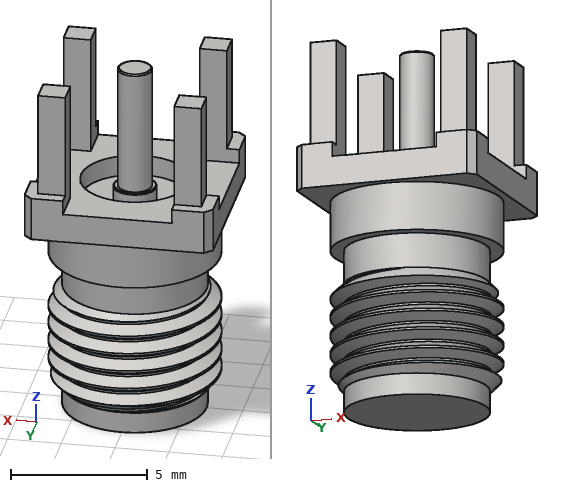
import cadquery as cq
import math


thread_bottom = 0.8
thread_top = 4.79
flange_bottom = 6.09
plate_bottom = 7.9
plate_top = 9.0
pad_top = 9.55
pin_top = 13.5

plate_side = 7.0
corner_chamfer = 0.3
leg_inner = 2.02
leg_outer = 3.04

barrel_radius = 2.67
flange_radius = 3.17

thread_radius = flange_radius
thread_pitch = 0.7
thread_flat = thread_pitch / 8
flank_slope = math.tan(math.radians(30))
thread_depth = (thread_pitch / 2 - thread_flat) / flank_slope
root_radius = thread_radius - thread_depth
thread_start = 0.39
thread_turns = 7
ridge_overlap = 0.04
envelope_margin = 0.14

recess_radius = 2.01
recess_depth = 0.78
recess_floor = plate_top - recess_depth
collar_radius = 0.8
collar_height = 0.54
collar_chamfer = 0.04
pin_radius = 0.63
pin_chamfer = 0.05


def cylinder(radius, bottom, top):
    return cq.Workplane("XY").workplane(offset=bottom).circle(radius).extrude(top - bottom)


def square_prism(side, bottom, top):
    return cq.Workplane("XY").workplane(offset=bottom).rect(side, side).extrude(top - bottom)


def make_thread():
    """Helical ridge on a core, trimmed to an envelope with 45 degree ends."""
    base_radius = root_radius - ridge_overlap
    half_crest = thread_flat / 2
    half_base = half_crest + (thread_radius - base_radius) * flank_slope
    profile = [
        (base_radius, thread_start - half_base),
        (thread_radius, thread_start - half_crest),
        (thread_radius, thread_start + half_crest),
        (base_radius, thread_start + half_base),
    ]
    helix = cq.Wire.makeHelix(
        thread_pitch, thread_pitch * thread_turns, root_radius, center=cq.Vector(0, 0, thread_start)
    )
    ridge = cq.Workplane("XZ").polyline(profile).close().sweep(cq.Workplane(helix), isFrenet=True)

    bevel = thread_radius + envelope_margin - barrel_radius
    envelope = (
        cq.Workplane("XZ")
        .moveTo(0, thread_bottom)
        .lineTo(barrel_radius, thread_bottom)
        .line(bevel, bevel)
        .lineTo(thread_radius + envelope_margin, thread_top - bevel)
        .line(-bevel, bevel)
        .lineTo(0, thread_top)
        .close()
        .revolve(360, (0, 0), (0, 1))
    )
    core = cylinder(root_radius, thread_bottom, thread_top).intersect(envelope)
    return core.union(ridge.intersect(envelope))


def make_barrel():
    barrel = cylinder(barrel_radius, 0, plate_bottom)
    flange = cylinder(flange_radius, flange_bottom, plate_bottom)
    return barrel.union(make_thread()).union(flange)


def make_plate():
    """Square plate with raised corner pads left by a cross-shaped step."""
    plate = square_prism(plate_side, plate_bottom, pad_top).edges("|Z").chamfer(corner_chamfer)
    gap = 2 * leg_inner
    step = cq.Workplane("XY").workplane(offset=plate_top)
    plate = plate.cut(step.rect(gap, plate_side).extrude(pad_top - plate_top))
    return plate.cut(step.rect(plate_side, gap).extrude(pad_top - plate_top))


def make_legs():
    leg_side = leg_outer - leg_inner
    spacing = leg_inner + leg_outer
    return (
        cq.Workplane("XY")
        .workplane(offset=plate_bottom)
        .rect(spacing, spacing, forConstruction=True)
        .vertices()
        .rect(leg_side, leg_side)
        .extrude(pin_top - plate_bottom)
    )


def make_contact():
    """Centre pin rising from a low collar on the recess floor."""
    collar_top = recess_floor + collar_height
    collar = cylinder(collar_radius, plate_bottom, collar_top).faces(">Z").chamfer(collar_chamfer)
    pin = cylinder(pin_radius, plate_bottom, pin_top).faces(">Z").chamfer(pin_chamfer)
    return collar.union(pin)


body = make_barrel().union(make_plate()).union(make_legs())
body = body.cut(cylinder(recess_radius, recess_floor, plate_top))
result = body.union(make_contact())